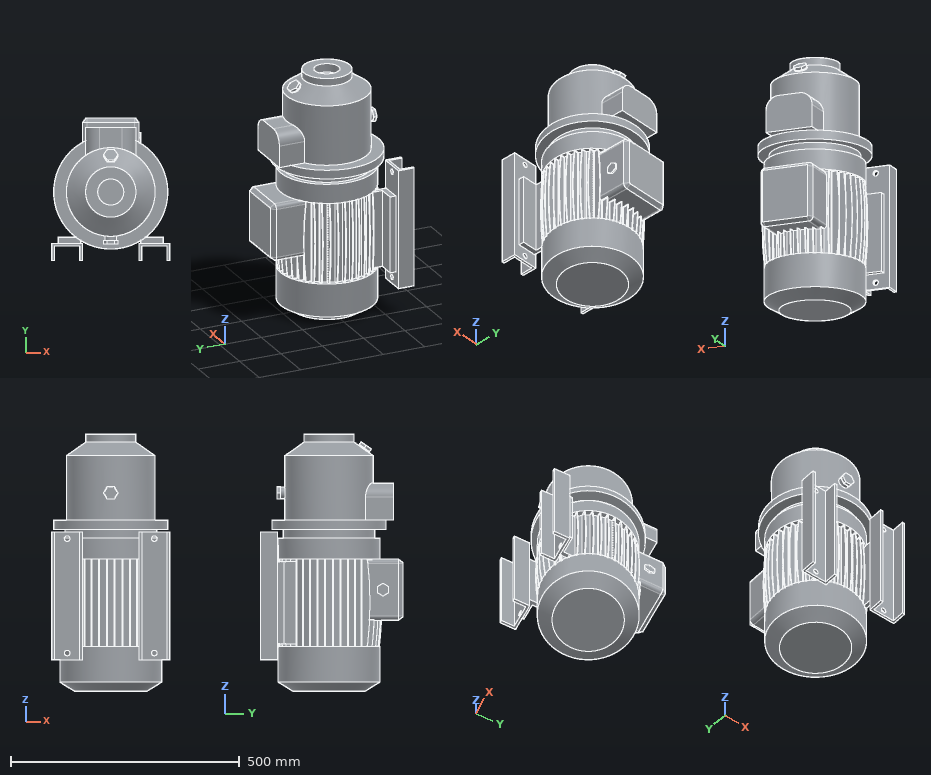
import cadquery as cq
import math


base_cone_height = 20.0
fin_bottom = 98.0
fin_length = 191.2
fin_top = fin_bottom + fin_length
fin_middle = fin_bottom + fin_length / 2
drum_top = 335.0
flange_bottom = 353.5
flange_top = 374.0
shoulder_bottom = 515.0
shoulder_top = 544.5
overall_height = 562.0

base_radius = 79.0
drum_radius = 111.5
core_radius = 100.0
neck_radius = 100.5
flange_radius = 125.0

fins_per_side = 10
fin_thickness = 2.0
fin_pitch_angle = 360.0 / (4 * fins_per_side)
fin_pitch_radius = 109.0
fin_end_radius = 110.5
fin_bulge = 5.5

box_width = 124.0
box_height = 134.0
box_end = 162.0
box_corner_radius = 10.0
box_bevel_length = 10.5
box_bevel_inset = 8.0
box_middle = fin_top - box_height / 2
gland_flats = 24.0
gland_length = 3.7
gland_y = 118.0

foot_plane = -112.0
foot_length = 180.0
foot_inner = 65.0
foot_outer = 115.0
foot_thickness = 13.5
foot_web_thickness = 10.0
foot_web_top = -70.5
channel_inner = 61.5
channel_outer = 129.0
channel_depth = 38.0
channel_wall = 6.5
channel_bottom = 68.7
channel_length = 280.0
channel_hole_diameter = 12.0
channel_hole_inset = 15.0

pump_radius = 97.0
inlet_radius = 55.0
inlet_bore_radius = 28.5
inlet_bore_depth = 20.0
outlet_width = 110.0
outlet_height = 81.0
outlet_end = 141.0
outlet_corner_radius = 30.0

plug_flats = 27.5
plug_head_thickness = 7.5
plug_stem_radius = 13.0
drain_plug_z = 433.5
drain_plug_reach = 17.0
vent_plug_reach = 9.5


def cylinder(radius, bottom, top):
    return cq.Workplane("XY").workplane(offset=bottom).circle(radius).extrude(top - bottom)


def block(x_range, y_range, z_range):
    """Box between the given limits on each axis."""
    (x0, x1), (y0, y1), (z0, z1) = x_range, y_range, z_range
    return cq.Workplane("XY").box(x1 - x0, y1 - y0, z1 - z0, centered=False).translate((x0, y0, z0))


def hexagon_diameter(across_flats):
    """Distance across the corners of a hexagon."""
    return across_flats / math.cos(math.pi / 6)



def motor_drum():
    """Turned motor body: coned base, finned core, end bell, neck and mounting flange."""
    outline = [
        (0, 0),
        (base_radius, 0),
        (drum_radius, base_cone_height),
        (drum_radius, fin_bottom),
        (core_radius, fin_bottom),
        (core_radius, fin_top),
        (drum_radius, fin_top),
        (drum_radius, drum_top),
        (neck_radius, drum_top),
        (neck_radius, flange_bottom),
        (flange_radius, flange_bottom),
        (flange_radius, flange_top),
        (0, flange_top),
    ]
    return cq.Workplane("XZ").polyline(outline).close().revolve(360, (0, 0), (0, 1))


def cooling_fins():
    """Parallel plates on all four sides, each with a bulging outer edge."""
    fins = cq.Workplane("XY")
    for index in range(fins_per_side):
        angle = math.radians((index - (fins_per_side - 1) / 2) * fin_pitch_angle)
        offset = fin_pitch_radius * math.sin(angle)
        root = math.sqrt(core_radius**2 - offset**2) - fin_thickness
        tip = math.sqrt(fin_end_radius**2 - (abs(offset) + fin_thickness / 2) ** 2)
        plate = (
            cq.Workplane("XZ", origin=(0, offset, 0))
            .moveTo(root, fin_bottom)
            .lineTo(tip, fin_bottom)
            .threePointArc((tip + fin_bulge, fin_middle), (tip, fin_top))
            .lineTo(root, fin_top)
            .close()
            .extrude(fin_thickness / 2, both=True)
        )
        for side in range(4):
            fins.add(plate.rotate((0, 0, 0), (0, 0, 1), 90 * side))
    return fins.combine()


def terminal_box():
    """Box with rounded side edges and a bevelled lid, with a hexagonal cable gland on its +X side."""
    bevel_start = box_end - box_bevel_length
    bevel_angle = math.degrees(math.atan2(box_bevel_inset, box_bevel_length))
    outline = (
        cq.Sketch()
        .rect(box_width, box_height)
        .vertices()
        .fillet(box_corner_radius)
    )
    y_plane = cq.Plane((0, 0, box_middle), xDir=(-1, 0, 0), normal=(0, 1, 0))
    body = cq.Workplane(y_plane).placeSketch(outline).extrude(bevel_start)
    lid = (
        cq.Workplane(y_plane)
        .workplane(offset=bevel_start)
        .placeSketch(outline)
        .extrude(box_bevel_length, taper=bevel_angle)
    )
    gland_plane = cq.Plane((box_width / 2, gland_y, box_middle), xDir=(0, 0, 1), normal=(1, 0, 0))
    gland = cq.Workplane(gland_plane).polygon(6, hexagon_diameter(gland_flats)).extrude(gland_length)
    return body.union(lid).union(gland)


def foot():
    """+X foot: a pad on the channel and a web that joins it to the motor core."""
    z_range = (fin_middle - foot_length / 2, fin_middle + foot_length / 2)
    pad = block((foot_inner, foot_outer), (foot_plane, foot_plane + foot_thickness), z_range)
    web = block((foot_inner, foot_inner + foot_web_thickness), (foot_plane, foot_web_top), z_range)
    return pad.union(web)


def channel():
    """+X mounting channel, open towards -Y, with a hole near each end."""
    z_range = (channel_bottom, channel_bottom + channel_length)
    y_end = foot_plane - channel_depth
    profile = block((channel_inner, channel_outer), (y_end, foot_plane), z_range)
    trough = block(
        (channel_inner + channel_wall, channel_outer - channel_wall),
        (y_end, foot_plane - channel_wall),
        z_range,
    )
    hole_x = (channel_inner + channel_outer) / 2
    hole_points = [(hole_x, z_range[0] + channel_hole_inset), (hole_x, z_range[1] - channel_hole_inset)]
    holes = (
        cq.Workplane("XZ", origin=(0, foot_plane, 0))
        .pushPoints(hole_points)
        .circle(channel_hole_diameter / 2)
        .extrude(channel_depth)
    )
    return profile.cut(trough).cut(holes)


def make_motor():
    mount = foot().union(channel())
    return (
        motor_drum()
        .union(cooling_fins())
        .union(terminal_box())
        .union(mount)
        .union(mount.mirror("YZ"))
    )



def pump_casing():
    """Turned casing with a conical shoulder and the inlet collar on top."""
    outline = [
        (0, flange_top),
        (pump_radius, flange_top),
        (pump_radius, shoulder_bottom),
        (inlet_radius, shoulder_top),
        (inlet_radius, overall_height),
        (0, overall_height),
    ]
    casing = cq.Workplane("XZ").polyline(outline).close().revolve(360, (0, 0), (0, 1))
    return casing.cut(cylinder(inlet_bore_radius, overall_height - inlet_bore_depth, overall_height))


def outlet():
    """Outlet block towards +Y, standing on the motor flange, with rounded upper edges."""
    body = block(
        (-outlet_width / 2, outlet_width / 2),
        (0, outlet_end),
        (flange_top, flange_top + outlet_height),
    )
    return body.edges("|Y and >Z").fillet(outlet_corner_radius)


def screw_plug(seat, normal, reach):
    """Hexagon-headed plug; its head face stands at the given reach above the seat point."""
    plane = cq.Plane(seat, xDir=(1, 0, 0), normal=normal)
    head_start = reach - plug_head_thickness
    stem = (
        cq.Workplane(plane)
        .workplane(offset=-plug_head_thickness)
        .circle(plug_stem_radius)
        .extrude(reach)
    )
    head = (
        cq.Workplane(plane)
        .workplane(offset=head_start)
        .polygon(6, hexagon_diameter(plug_flats))
        .extrude(plug_head_thickness)
    )
    return stem.union(head)


def make_pump():
    drain_plug = screw_plug((0, -pump_radius, drain_plug_z), (0, -1, 0), drain_plug_reach)
    shoulder_middle = (0, (pump_radius + inlet_radius) / 2, (shoulder_bottom + shoulder_top) / 2)
    shoulder_normal = (0, shoulder_top - shoulder_bottom, pump_radius - inlet_radius)
    vent_plug = screw_plug(shoulder_middle, shoulder_normal, vent_plug_reach)
    return pump_casing().union(outlet()).union(drain_plug).union(vent_plug)


motor = make_motor()
pump = make_pump()

result = cq.Compound.makeCompound([motor.val(), pump.val()])